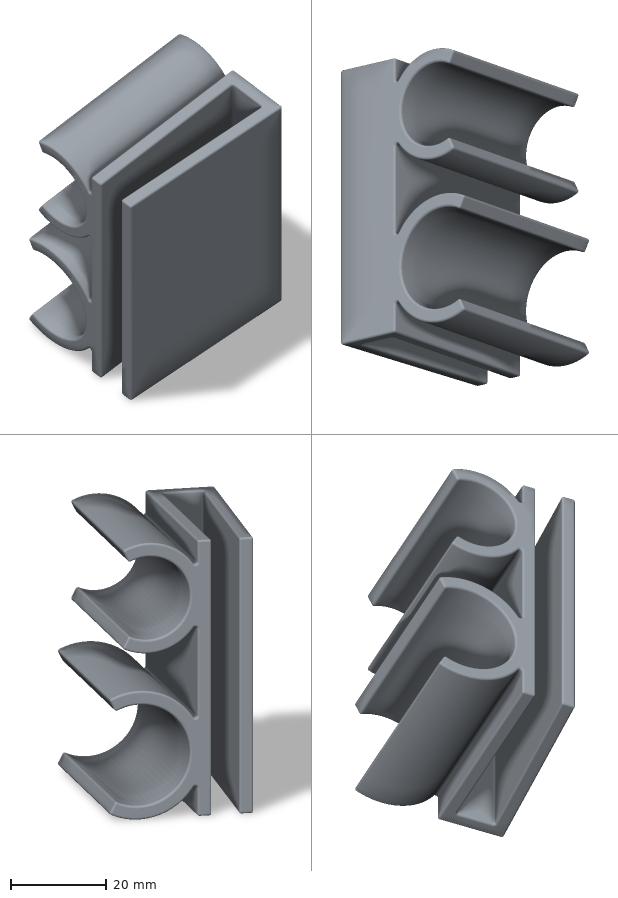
import cadquery as cq
import math

height = 60.0
depth = 43.0
wall = 3.0
edge_radius = 0.5

mouth_width = 6.0
arm_tilt = 2.0
arm_outer_x = mouth_width / 2 + wall

upper_outer_radius = 12.0
lower_outer_radius = 14.0
bore_gap = 1.6
mouth_half_angle = 62.7
overrun = 3.0


def prism(profile):
    """Extrude an XZ profile along +Y, past both ends of the part."""
    length = depth + 2 * overrun
    return profile.extrude(-length).translate((0, -overrun, 0))


def tilted(body, angle):
    """Turn a body about the vertical line where its outer face meets Y = 0."""
    pivot_x = -math.copysign(arm_outer_x, angle)
    return body.rotate((pivot_x, 0, 0), (pivot_x, 0, 1), angle)


def arm(side):
    center_x = side * (mouth_width + wall) / 2
    return prism(cq.Workplane("XZ").center(center_x, height / 2).rect(wall, height))


def clip(outer_radius, center_z):
    """C-shaped ring that opens toward -X, with radial end faces."""
    bore_radius = outer_radius - wall
    center_x = -arm_outer_x - bore_gap - bore_radius
    ring = prism(cq.Workplane("XZ").center(center_x, center_z).circle(outer_radius).circle(bore_radius))
    reach = 2 * outer_radius
    half_opening = reach * math.tan(math.radians(mouth_half_angle))
    opening = prism(
        cq.Workplane("XZ")
        .center(center_x, center_z)
        .polyline([(0, 0), (-reach, half_opening), (-reach, -half_opening)])
        .close()
    )
    return ring.cut(opening)


upper_clip = clip(upper_outer_radius, height - upper_outer_radius)
lower_clip = clip(lower_outer_radius, lower_outer_radius)
clip_arm = tilted(arm(-1).union(upper_clip).union(lower_clip), arm_tilt)
plain_arm = tilted(arm(1), -arm_tilt)

envelope = cq.Workplane("XY").box(4 * height, depth, 4 * height).translate((0, depth / 2, 0))
arms = clip_arm.union(plain_arm).intersect(envelope)

slope = math.tan(math.radians(arm_tilt))
back_half_width = arm_outer_x + depth * slope
inner_half_width = back_half_width - wall * slope
back_wall = (
    cq.Workplane("XY")
    .polyline([
        (-back_half_width, depth),
        (back_half_width, depth),
        (inner_half_width, depth - wall),
        (-inner_half_width, depth - wall),
    ])
    .close()
    .extrude(height)
)

result = arms.union(back_wall).clean().edges().fillet(edge_radius)